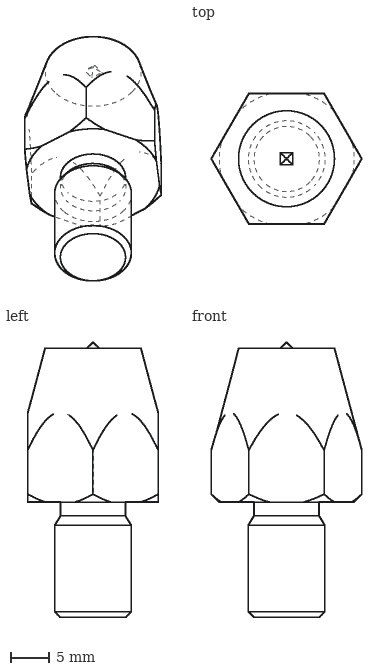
import cadquery as cq
import math

across_flats = 16.97
shank_diameter = 10.0
shank_chamfer = 0.75
shank_top = 12.0
neck_diameter = 8.5
neck_bottom = 13.2
head_bottom = 15.0
head_top = 35.0
head_top_diameter = 12.5
head_bottom_diameter = 17.55
cone_half_angle = 15.0
total_height = 35.8
tip_width = 1.6

across_corners = across_flats / math.cos(math.radians(30))
corner_radius = across_corners / 2


def make_shank():
    """Round shank with a chamfered end and a tapered step up to the neck."""
    radius = shank_diameter / 2
    neck_radius = neck_diameter / 2
    profile = (
        cq.Workplane("XZ")
        .moveTo(0, 0)
        .lineTo(radius - shank_chamfer, 0)
        .lineTo(radius, shank_chamfer)
        .lineTo(radius, shank_top)
        .lineTo(neck_radius, neck_bottom)
        .lineTo(neck_radius, head_bottom)
        .lineTo(0, head_bottom)
        .close()
    )
    return profile.revolve(360, (0, 0, 0), (0, 1, 0))


def make_head():
    """Hexagonal head trimmed by a long upper cone and a 45 degree lower chamfer."""
    hexagon = (
        cq.Workplane("XY", origin=(0, 0, head_bottom))
        .polygon(6, across_corners)
        .extrude(head_top - head_bottom)
    )
    top_radius = head_top_diameter / 2
    bottom_radius = head_bottom_diameter / 2
    trim_radius = corner_radius + 0.35
    cone_drop = (trim_radius - top_radius) / math.tan(math.radians(cone_half_angle))
    envelope = (
        cq.Workplane("XZ")
        .moveTo(0, head_bottom)
        .lineTo(bottom_radius, head_bottom)
        .lineTo(trim_radius, head_bottom + trim_radius - bottom_radius)
        .lineTo(trim_radius, head_top - cone_drop)
        .lineTo(top_radius, head_top)
        .lineTo(0, head_top)
        .close()
        .revolve(360, (0, 0, 0), (0, 1, 0))
    )
    return hexagon.intersect(envelope)


def make_tip():
    """Small four-sided pyramid rising to a point on the head's top face."""
    half = tip_width / 2
    apex = cq.Vector(0, 0, total_height)
    corners = [
        cq.Vector(x, y, head_top)
        for x, y in ((-half, -half), (half, -half), (half, half), (-half, half))
    ]
    faces = [cq.Face.makeFromWires(cq.Wire.makePolygon(corners, close=True))]
    for start, end in zip(corners, corners[1:] + corners[:1]):
        side = cq.Wire.makePolygon([start, end, apex], close=True)
        faces.append(cq.Face.makeFromWires(side))
    return cq.Workplane(cq.Solid.makeSolid(cq.Shell.makeShell(faces)))


result = make_shank().union(make_head()).union(make_tip())